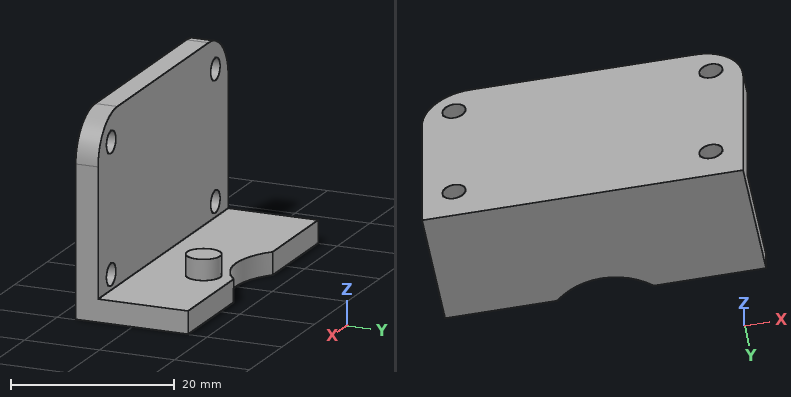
import cadquery as cq
import math

width = 40.0
depth = 15.0
height = 26.0
thickness = 3.0
corner_radius = 6.0

hole_diameter = 2.9
hole_edge_inset = 4.0
lower_hole_height = 5.0

pin_diameter = 4.4
pin_height = 2.7
pin_side_offset = 6.0
pin_back_inset = 4.0

notch_width = 12.0
notch_radius = 9.0
notch_depth = notch_radius - math.sqrt(notch_radius**2 - (notch_width / 2) ** 2)


def make_base():
    return cq.Workplane("XY").box(width, depth, thickness, centered=(True, False, False))


def make_plate():
    plate = cq.Workplane("XY").box(width, thickness, height, centered=(True, False, False))
    plate = plate.edges("|Y and >Z").fillet(corner_radius)
    hole_x = width / 2 - hole_edge_inset
    upper_hole_height = height - hole_edge_inset
    hole_centers = [(x, z) for x in (-hole_x, hole_x) for z in (lower_hole_height, upper_hole_height)]
    holes = cq.Workplane("XZ").pushPoints(hole_centers).circle(hole_diameter / 2).extrude(-thickness)
    return plate.cut(holes)


def make_notch():
    return (
        cq.Workplane("XY")
        .moveTo(-notch_width / 2, depth)
        .threePointArc((0, depth - notch_depth), (notch_width / 2, depth))
        .close()
        .extrude(thickness)
    )


def make_pin():
    return (
        cq.Workplane("XY", origin=(pin_side_offset, depth - pin_back_inset, thickness))
        .circle(pin_diameter / 2)
        .extrude(pin_height)
    )


result = make_base().cut(make_notch()).union(make_plate()).union(make_pin())